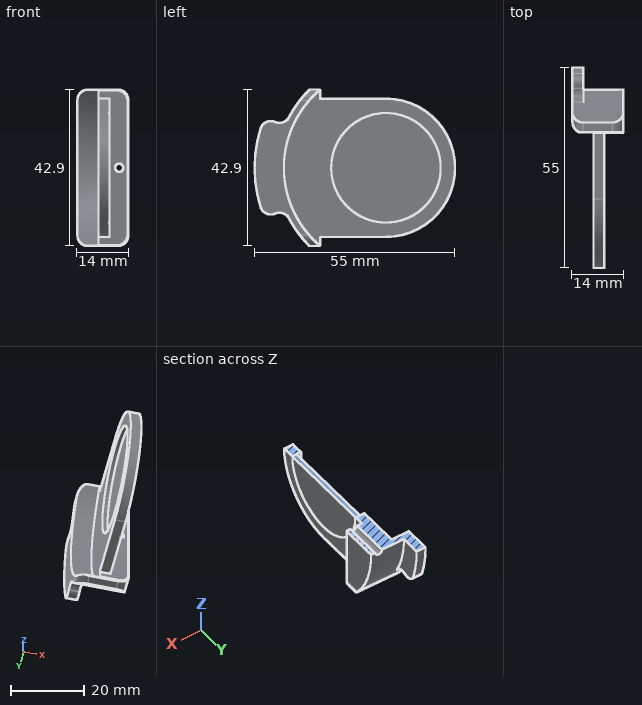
import cadquery as cq
import math


rim_width = 14.0
rim_height = 42.9
rim_outer_radius = 30.0
rim_wall = 2.0
rim_inner_radius = rim_outer_radius - rim_wall
rim_corner_radius = 2.95
rim_edge_chamfer = 0.3
rim_flat_y = math.sqrt(rim_inner_radius**2 - (rim_height / 2) ** 2)

plate_front_x = 5.8
plate_thickness = 3.0
plate_radius = 19.0
plate_root_y = rim_flat_y + rim_wall

tab_thickness = 3.0
overall_length = 55.0
tab_radius = overall_length - plate_radius
tab_half_angle = math.radians(22.5)
tab_fillet = 2.95

pin_hole_diameter = 2.2
pin_hole_x = 11.5

disc_radius = 15.0
disc_setback = 1.5
disc_thickness = plate_thickness - disc_setback


def polar(radius, angle):
    """Point (Y, Z) at a radius and an angle from the +Y direction."""
    return (radius * math.cos(angle), radius * math.sin(angle))


def x_cylinder(radius, start_x, length):
    return cq.Workplane("YZ", origin=(start_x, 0, 0)).circle(radius).extrude(length)


def make_rim():
    depth = rim_outer_radius - rim_flat_y
    block = (
        cq.Workplane("XY")
        .box(rim_width, depth, rim_height, centered=(False, False, True))
        .translate((0, rim_flat_y, 0))
        .edges("|Y")
        .fillet(rim_corner_radius)
        .faces("<Y")
        .edges()
        .chamfer(rim_edge_chamfer)
    )
    return block.intersect(x_cylinder(rim_outer_radius, 0, rim_width))


def make_plate():
    """Tongue with a semicircular end, running back into the rim."""
    return (
        cq.Workplane("YZ", origin=(plate_front_x, 0, 0))
        .moveTo(plate_root_y, plate_radius)
        .lineTo(0, plate_radius)
        .threePointArc((-plate_radius, 0), (0, -plate_radius))
        .lineTo(plate_root_y, -plate_radius)
        .close()
        .extrude(plate_thickness)
    )


def make_tab():
    """Sector with rounded tips and hollow rounds where it leaves the rim."""
    tip_center_radius = tab_radius - tab_fillet
    tip_angle = tab_half_angle - math.asin(tab_fillet / tip_center_radius)
    tip_side_radius = math.sqrt(tip_center_radius**2 - tab_fillet**2)
    root_center_radius = rim_outer_radius + tab_fillet
    root_angle = tab_half_angle + math.asin(tab_fillet / root_center_radius)
    root_side_radius = math.sqrt(root_center_radius**2 - tab_fillet**2)

    def mirrored(point):
        return (point[0], -point[1])

    tip_start = polar(tab_radius, tip_angle)
    tip_end = polar(tip_side_radius, tab_half_angle)
    root_start = polar(root_side_radius, tab_half_angle)
    root_end = polar(rim_outer_radius, root_angle)
    inner_end = polar(rim_inner_radius, root_angle)

    tip_center = polar(tip_center_radius, tip_angle)
    tip_mid_angle = (tip_angle + tab_half_angle + math.pi / 2) / 2
    tip_offset = polar(tab_fillet, tip_mid_angle)
    tip_middle = (tip_center[0] + tip_offset[0], tip_center[1] + tip_offset[1])

    root_center = polar(root_center_radius, root_angle)
    root_mid_angle = (root_angle + tab_half_angle + math.pi / 2) / 2
    root_offset = polar(tab_fillet, root_mid_angle)
    root_middle = (root_center[0] - root_offset[0], root_center[1] - root_offset[1])

    return (
        cq.Workplane("YZ")
        .moveTo(*inner_end)
        .lineTo(*root_end)
        .threePointArc(root_middle, root_start)
        .lineTo(*tip_end)
        .threePointArc(tip_middle, tip_start)
        .threePointArc((tab_radius, 0), mirrored(tip_start))
        .threePointArc(mirrored(tip_middle), mirrored(tip_end))
        .lineTo(*mirrored(root_start))
        .threePointArc(mirrored(root_middle), mirrored(root_end))
        .lineTo(*mirrored(inner_end))
        .threePointArc((rim_inner_radius, 0), inner_end)
        .close()
        .extrude(tab_thickness)
    )


def make_cover():
    arched_recess = x_cylinder(rim_inner_radius, 0, plate_front_x)
    window = x_cylinder(disc_radius, plate_front_x, plate_thickness)
    pin_hole = (
        cq.Workplane("XZ", origin=(pin_hole_x, 0, 0))
        .circle(pin_hole_diameter / 2)
        .extrude(-tab_radius)
    )
    rim = make_rim().cut(arched_recess).cut(pin_hole)
    return rim.union(make_tab()).union(make_plate().cut(window))


def make_disc():
    return x_cylinder(disc_radius, plate_front_x + disc_setback, disc_thickness)


cover = make_cover()
disc = make_disc()
result = cq.Compound.makeCompound([cover.val(), disc.val()])